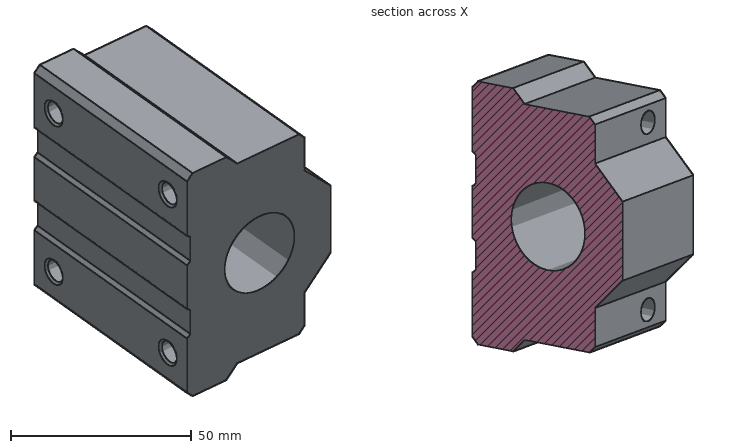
import cadquery as cq

length = 67.0
depth = 51.5
height = 76.0

flange_depth = 14.05
flange_step = 3.95
shoulder_depth = 42.1
crown_half_height = 11.4
edge_chamfer = 2.0

bore_diameter = 25.0
bore_depth = 26.0

groove_offset = 12.5
groove_width = 10.0
groove_depth = 1.2
groove_bevel = 1.0

hole_diameter = 6.6
hole_mouth_diameter = 8.0
hole_spacing_x = 50.0
hole_spacing_z = 53.95

half_height = height / 2
body_half_height = half_height - flange_step
crown_rise = depth - shoulder_depth


def extrude_section(points):
    """Extrude a (Y, Z) outline along the full length of the block."""
    return cq.Workplane("YZ").polyline(points).close().extrude(length / 2, both=True)


def make_body():
    upper_half = [
        (0, half_height - edge_chamfer),
        (edge_chamfer, half_height),
        (flange_depth, half_height),
        (flange_depth + flange_step, body_half_height),
        (shoulder_depth - edge_chamfer, body_half_height),
        (shoulder_depth, body_half_height - edge_chamfer),
        (shoulder_depth, crown_half_height + crown_rise),
        (depth, crown_half_height),
    ]
    lower_half = [(y, -z) for y, z in reversed(upper_half)]
    return extrude_section(upper_half + lower_half)


def make_groove(center_z):
    mouth = groove_width / 2
    floor = mouth - groove_bevel
    return extrude_section([
        (0, center_z - mouth),
        (groove_depth, center_z - floor),
        (groove_depth, center_z + floor),
        (0, center_z + mouth),
    ])


def make_bore():
    return (
        cq.Workplane("YZ")
        .center(bore_depth, 0)
        .circle(bore_diameter / 2)
        .extrude(length / 2, both=True)
    )


def make_mounting_hole(x, z):
    """Through hole along Y with a 45 degree countersunk mouth."""
    radius = hole_diameter / 2
    mouth_radius = hole_mouth_diameter / 2
    countersink_depth = mouth_radius - radius
    profile = [
        (0, 0),
        (mouth_radius, 0),
        (radius, countersink_depth),
        (radius, depth),
        (0, depth),
    ]
    hole = cq.Workplane("XY").polyline(profile).close().revolve(360, (0, 0, 0), (0, 1, 0))
    return hole.translate((x, 0, z))


result = make_body().cut(make_bore())
for side in (-1, 1):
    result = result.cut(make_groove(side * groove_offset))
    for end in (-1, 1):
        result = result.cut(make_mounting_hole(end * hole_spacing_x / 2, side * hole_spacing_z / 2))